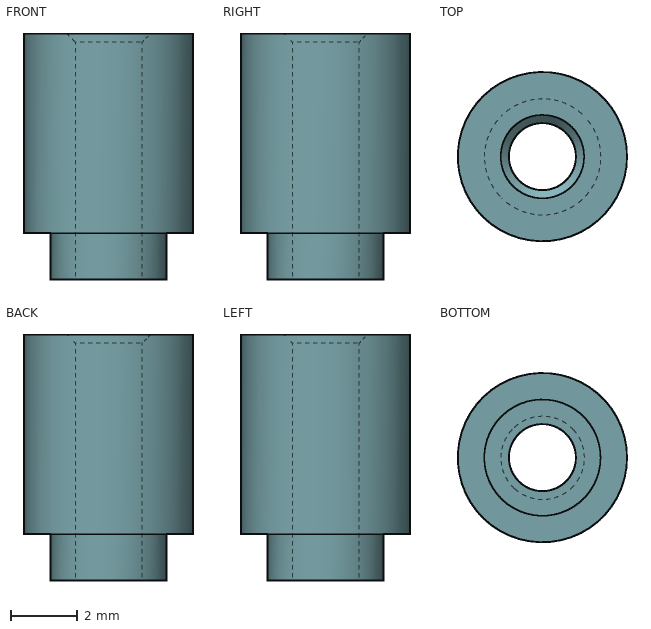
import cadquery as cq

body_diameter = 5.1
body_height = 6.0
shank_diameter = 3.5
shank_height = 1.4
bore_diameter = 2.01
bore_chamfer = 0.25

total_height = shank_height + body_height


def stepped_blank():
    """Solid shank standing on Z = 0 with the wider body on top of it."""
    shank = cq.Workplane("XY").circle(shank_diameter / 2).extrude(shank_height)
    return shank.faces(">Z").workplane().circle(body_diameter / 2).extrude(body_height)


def chamfered_bore():
    """Through bore along Z, widening to a cone at the top face."""
    bore_radius = bore_diameter / 2
    profile = (
        cq.Workplane("XZ")
        .lineTo(bore_radius, 0)
        .lineTo(bore_radius, total_height - bore_chamfer)
        .lineTo(bore_radius + bore_chamfer, total_height)
        .lineTo(0, total_height)
        .close()
    )
    return profile.revolve(360, (0, 0, 0), (0, 1, 0))


result = stepped_blank().cut(chamfered_bore())